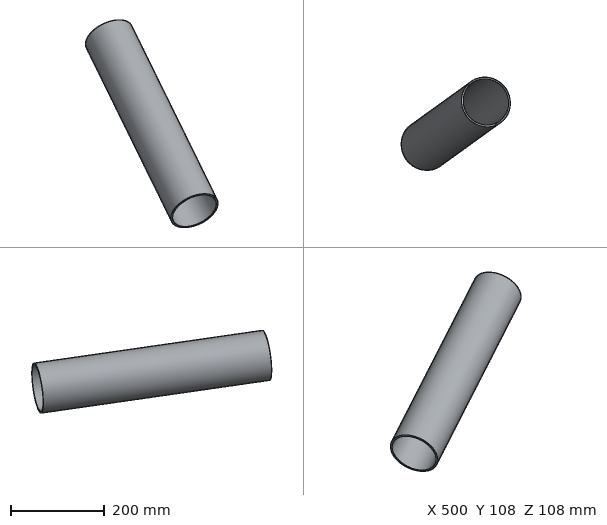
import cadquery as cq

length = 500.0
outer_diameter = 108.0
wall = 4.0
inner_diameter = outer_diameter - 2 * wall

result = (
    cq.Workplane("YZ", origin=(-length / 2, 0, 0))
    .circle(outer_diameter / 2)
    .circle(inner_diameter / 2)
    .extrude(length)
)